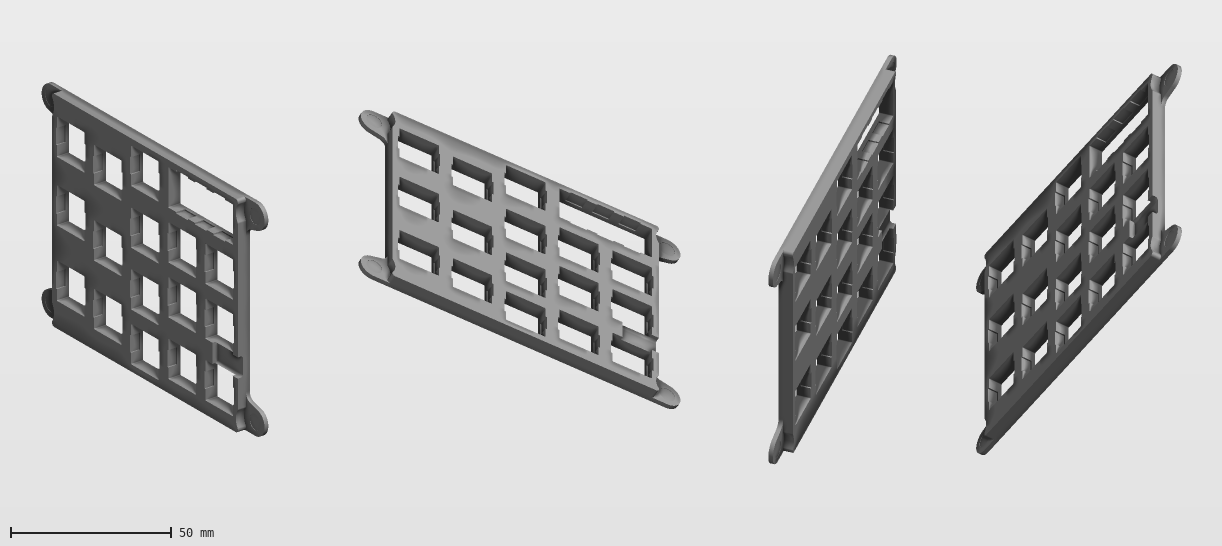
import cadquery as cq
import math

key_unit = 19.05
grid_step = key_unit / 8

plate_width = 5 * key_unit
plate_height = 4.25 * key_unit
plate_depth = 4.7
plate_edge = plate_width / 2
plate_top = plate_height / 2

opening_size = 14.05
opening_corner_radius = 0.25
clip_pocket_length = 6.0
clip_pocket_reach = 0.5
clip_ledge = 1.3
clip_pocket_depth = plate_depth - clip_ledge

column_rows = {
    -2: (11, 1, -10),
    -1: (10, -1, -11),
    0: (13, 4, -5, -13),
    1: (5, -3, -12),
    2: (5, -3, -12),
}

wide_opening_length = opening_size + key_unit
wide_opening_x = 1.5 * key_unit
wide_opening_z = 13 * grid_step
wide_pocket_pitch = key_unit / 2

tab_radius = key_unit / 4
tab_thickness = 1.5
tab_x = plate_edge + tab_radius
tab_z = plate_top - tab_radius
tab_slope = math.radians(15)
tab_root_radius = 3.0
tab_overlap = 2.0
recess_diameter = 5.59
recess_depth = 0.1

relief_clearance = 1.0
relief_radius = tab_radius + relief_clearance
relief_edge_radius = 1.0

groove_start_x = 34.6
groove_z = -7.5 * grid_step
groove_width = 7.4
groove_depth = 2.0
groove_floor_radius = 1.0


def block(x, z, width, height, depth):
    """Block starting at the front face and running to the given depth."""
    return cq.Workplane("XY").box(width, depth, height, centered=(True, False, True)).translate((x, 0, z))


def rounded_block(x, z, width, height):
    """Block through the whole plate depth with rounded corners."""
    return block(x, z, width, height, plate_depth).edges("|Y").fillet(opening_corner_radius)


def front_sketch(y):
    """Sketch plane with X right and Z up; negative extrusions run toward +Y."""
    return cq.Workplane(cq.Plane(origin=(0, y, 0), xDir=(1, 0, 0), normal=(0, -1, 0)))


def at_all_corners(corner):
    """Copies of an upper-right corner shape mirrored to all four corners."""
    right_pair = corner.union(corner.mirror("XY"))
    return right_pair.union(right_pair.mirror("YZ"))


def make_relief():
    """Upper-right material removed in front of the tab, with rounded plate edges."""
    round_x = plate_edge - relief_edge_radius
    centre_distance = relief_radius + relief_edge_radius
    round_drop = math.sqrt(centre_distance ** 2 - (tab_x - round_x) ** 2)
    arc_share = relief_radius / centre_distance
    arc_x = tab_x - (tab_x - round_x) * arc_share
    arc_drop = round_drop * arc_share
    diagonal = relief_edge_radius * math.sqrt(0.5)
    half_angle = math.atan2(round_drop, tab_x - round_x) / 2
    mid_x = round_x + relief_edge_radius * math.cos(half_angle)
    mid_drop = round_drop - relief_edge_radius * math.sin(half_angle)
    corner_z = plate_top - relief_edge_radius
    return (
        front_sketch(0)
        .moveTo(tab_x, plate_top)
        .lineTo(round_x, plate_top)
        .threePointArc((round_x + diagonal, corner_z + diagonal), (plate_edge, corner_z))
        .lineTo(plate_edge, tab_z + round_drop)
        .threePointArc((mid_x, tab_z + mid_drop), (arc_x, tab_z + arc_drop))
        .threePointArc((tab_x - relief_radius, tab_z), (arc_x, tab_z - arc_drop))
        .threePointArc((mid_x, tab_z - mid_drop), (plate_edge, tab_z - round_drop))
        .lineTo(tab_x, tab_z - round_drop)
        .close()
        .extrude(-(plate_depth - tab_thickness))
    )


def make_tab():
    """Upper-right tab: round end, sloped underside and a concave root into the plate side."""
    slope_x = tab_x + tab_radius * math.sin(tab_slope)
    slope_z = tab_z - tab_radius * math.cos(tab_slope)
    side_z = slope_z - (slope_x - plate_edge) * math.tan(tab_slope)
    root_turn = math.pi / 2 - tab_slope
    root_setback = tab_root_radius * math.tan(root_turn / 2)
    root_x = plate_edge + root_setback * math.cos(tab_slope)
    root_z = side_z + root_setback * math.sin(tab_slope)
    root_centre_x = plate_edge + tab_root_radius
    root_centre_z = side_z - root_setback
    root_mid_angle = tab_slope + root_turn / 2
    root_mid = (
        root_centre_x - tab_root_radius * math.sin(root_mid_angle),
        root_centre_z + tab_root_radius * math.cos(root_mid_angle),
    )
    inner_x = plate_edge - tab_overlap
    tab = (
        front_sketch(plate_depth - tab_thickness)
        .moveTo(inner_x, plate_top)
        .lineTo(tab_x, plate_top)
        .threePointArc((tab_x + tab_radius, tab_z), (slope_x, slope_z))
        .lineTo(root_x, root_z)
        .threePointArc(root_mid, (plate_edge, root_centre_z))
        .lineTo(inner_x, root_centre_z)
        .close()
        .extrude(-tab_thickness)
    )
    recess = (
        front_sketch(plate_depth - tab_thickness)
        .center(tab_x, tab_z)
        .circle(recess_diameter / 2)
        .extrude(-recess_depth)
    )
    return tab.cut(recess)


def make_switch_opening(x, z):
    """Square through opening with a clip pocket at its left and right."""
    opening = rounded_block(x, z, opening_size, opening_size)
    pockets = block(x, z, opening_size + 2 * clip_pocket_reach, clip_pocket_length, clip_pocket_depth)
    return opening.union(pockets)


def make_wide_opening():
    """Double-width through opening with three clip pockets along its top and bottom."""
    opening = rounded_block(wide_opening_x, wide_opening_z, wide_opening_length, opening_size)
    pocket_height = opening_size + 2 * clip_pocket_reach
    for place in (-1, 0, 1):
        x = wide_opening_x + place * wide_pocket_pitch
        opening = opening.union(
            block(x, wide_opening_z, clip_pocket_length, pocket_height, clip_pocket_depth)
        )
    return opening


def make_groove():
    """Groove with rounded floor edges that runs out through the right side."""
    length = plate_edge - groove_start_x
    groove = block(groove_start_x + length / 2, groove_z, length, groove_width, groove_depth)
    return groove.edges(">Y and |X").fillet(groove_floor_radius)


result = block(0, 0, plate_width, plate_height, plate_depth)
result = result.cut(at_all_corners(make_relief()))
result = result.union(at_all_corners(make_tab()))
for column, rows in column_rows.items():
    for row in rows:
        result = result.cut(make_switch_opening(column * key_unit, row * grid_step))
result = result.cut(make_wide_opening())
result = result.cut(make_groove())